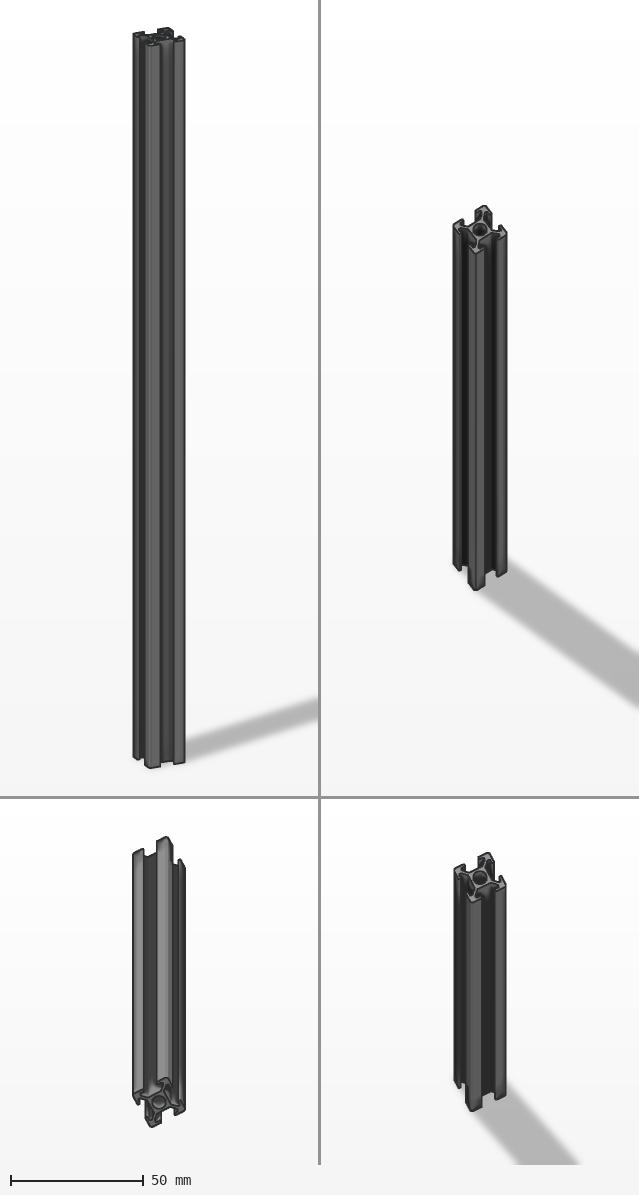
import cadquery as cq
import math

width = 15.0
length = 290.0
corner_radius = 1.0

slot_opening = 5.8
lip_thickness = 1.0
cavity_width = 9.45

core_width = 7.2
web_thickness = 1.1
bore_diameter = 5.1

lip_outer_radius = 0.3
lip_inner_radius = 0.2
cavity_radius = 0.3
wall_radius = 0.2
floor_radius = 0.4

half_width = width / 2
half_opening = slot_opening / 2
half_cavity = cavity_width / 2
half_core = core_width / 2
lip_bottom = half_width - lip_thickness
web_offset = web_thickness / math.sqrt(2)

slot_corners = [
    ((half_opening, half_width), lip_outer_radius),
    ((half_opening, lip_bottom), lip_inner_radius),
    ((half_cavity, lip_bottom), cavity_radius),
    ((half_cavity, half_cavity + web_offset), wall_radius),
    ((half_core - web_offset, half_core), floor_radius),
]


def slot_cutter():
    """Solid that clears the T-slot on the +Y side over the full length."""
    right_side = [point for point, _ in slot_corners]
    left_side = [(-x, y) for x, y in reversed(right_side)]
    return cq.Workplane("XY").polyline(right_side + left_side).close().extrude(length)


def round_slot_corner(bar, point, radius):
    """Round the eight lengthwise edges that repeat one slot corner around the bar."""
    sizes = sorted(point)
    tolerance = 0.01

    def is_copy(edge):
        center = edge.Center()
        edge_sizes = sorted((abs(center.x), abs(center.y)))
        return math.dist(edge_sizes, sizes) < tolerance

    return bar.edges("|Z").filter(is_copy).fillet(radius)


def build_bar():
    """Square bar with a T-slot on every side and a bore along its axis."""
    bar = cq.Workplane("XY").rect(width, width).extrude(length)
    bar = bar.edges("|Z").fillet(corner_radius)

    cutter = slot_cutter()
    for side in range(4):
        bar = bar.cut(cutter.rotate((0, 0, 0), (0, 0, 1), 90 * side))

    for point, radius in slot_corners:
        bar = round_slot_corner(bar, point, radius)

    bore = cq.Workplane("XY").circle(bore_diameter / 2).extrude(length)
    return bar.cut(bore)


result = build_bar()